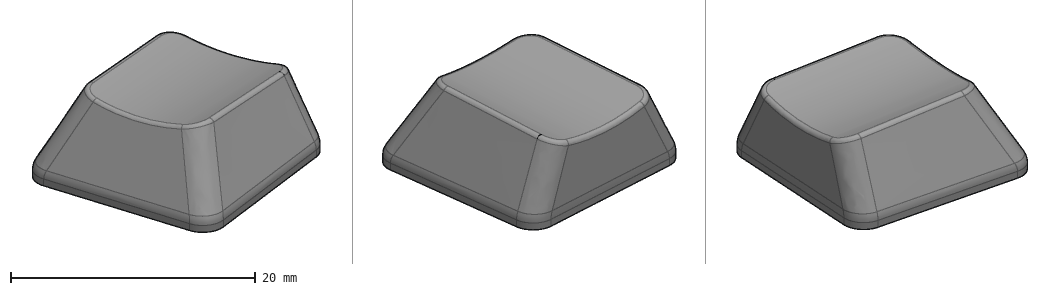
import cadquery as cq
import math

base_size = 18.16
skirt_height = 0.65
corner_radius = 2.0

shoulder_height = 0.73
shoulder_steps = 3
kink_height = skirt_height + shoulder_height / 2

body_top = 8.72
side_slope_front = 0.46
side_slope_back = 0.49
front_slope = 0.51
back_slope = 0.08
top_corner_radius = 1.9

dish_radius = 21.43
dish_front_y = -5.63
dish_front_height = 7.01
dish_tilt = 3.0
dish_length = 54.48

rim_radius = 0.44


def wall_section(inset_height, height):
    """Rounded outline whose walls have moved inward by their slopes times inset_height."""
    half_base = base_size / 2
    front_x = half_base - side_slope_front * inset_height
    back_x = half_base - side_slope_back * inset_height
    front_y = front_slope * inset_height - half_base
    back_y = half_base - back_slope * inset_height
    taper = inset_height / (body_top - kink_height)
    radius = corner_radius + (top_corner_radius - corner_radius) * taper
    corners = [
        (-front_x, front_y),
        (front_x, front_y),
        (back_x, back_y),
        (-back_x, back_y),
    ]
    outline = cq.Workplane("XY", origin=(0, 0, height)).polyline(corners).close()
    prism = outline.extrude(0.18).edges("|Z").fillet(radius)
    return prism.faces("<Z").wires().val()


def make_skirt():
    skirt = cq.Workplane("XY").rect(base_size, base_size).extrude(skirt_height)
    return skirt.edges("|Z").fillet(corner_radius)


def make_shoulder():
    """Smooth bend from the upright skirt to the sloping walls, parabolic in height."""
    sections = []
    for step in range(shoulder_steps + 1):
        rise = shoulder_height * step / shoulder_steps
        inset_height = rise**2 / (2 * shoulder_height)
        sections.append(wall_section(inset_height, skirt_height + rise))
    return cq.Workplane(cq.Solid.makeLoft(sections, False))


def make_body():
    shoulder_top = skirt_height + shoulder_height
    bottom = wall_section(shoulder_top - kink_height, shoulder_top)
    top = wall_section(body_top - kink_height, body_top)
    return cq.Workplane(cq.Solid.makeLoft([bottom, top], True))


def make_dish():
    tilt = math.radians(dish_tilt)
    axis = cq.Vector(0, math.cos(tilt), -math.sin(tilt))
    normal = cq.Vector(0, math.sin(tilt), math.cos(tilt))
    lowest = cq.Vector(0, dish_front_y, dish_front_height)
    start = lowest + normal * dish_radius - axis * (dish_length / 2)
    return cq.Workplane(cq.Solid.makeCylinder(dish_radius, dish_length, start, axis))


key = make_skirt().union(make_shoulder()).union(make_body())
key = key.cut(make_dish())
result = key.faces("%CYLINDER").faces(">Z").edges().fillet(rim_radius)